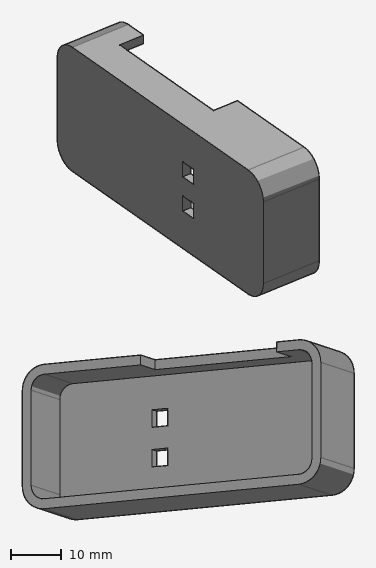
import cadquery as cq

length = 67.15
depth = 14.0
height = 29.1
corner_radius = 5.0
wall = 2.0

window_size = 3.5
window_x = 9.05
window_spacing = 8.0

notch_left = -23.65
notch_length = 30.55
notch_depth = 6.0

front_y = -depth / 2
back_y = depth / 2


def rounded_block(block_length, block_height, radius, start_y, end_y):
    """Block centred in X and Z, with its edges along Y rounded."""
    return (
        cq.Workplane("XY")
        .box(block_length, end_y - start_y, block_height)
        .edges("|Y")
        .fillet(radius)
        .translate((0, (start_y + end_y) / 2, 0))
    )


def window(center_z):
    """Square cutter reaching through the front wall."""
    return (
        cq.Workplane("XY")
        .box(window_size, 2 * wall, window_size)
        .translate((window_x, front_y + wall / 2, center_z))
    )


body = rounded_block(length, height, corner_radius, front_y, back_y)
cavity = rounded_block(
    length - 2 * wall, height - 2 * wall, corner_radius - wall, front_y + wall, back_y
)
result = body.cut(cavity)

for side in (-1, 1):
    result = result.cut(window(side * window_spacing / 2))

notch = (
    cq.Workplane("XY")
    .box(notch_length, notch_depth, wall, centered=False)
    .translate((notch_left, back_y - notch_depth, height / 2 - wall))
)
result = result.cut(notch)